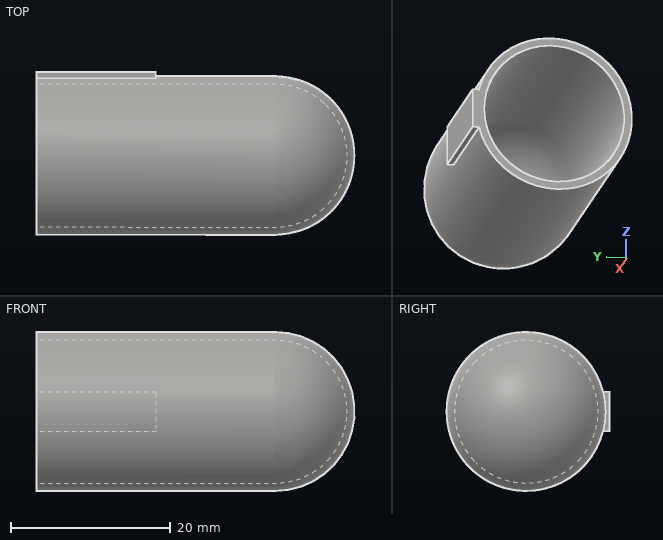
import cadquery as cq

total_length = 40.0
outer_radius = 10.0
wall = 1.0
tab_width = 5.0

inner_radius = outer_radius - wall
tube_length = total_length - outer_radius
tab_length = tube_length / 2
tab_top = outer_radius + wall / 2
tab_root = inner_radius


def domed_cylinder(radius):
    """Solid along +X: a cylinder from X = 0 closed by a hemisphere at its far end."""
    cylinder = cq.Workplane("YZ").circle(radius).extrude(tube_length)
    dome = cq.Workplane("XY").sphere(radius).translate((tube_length, 0, 0))
    return cylinder.union(dome)


def side_tab():
    """Flat rib on the +Y side, starting at the open end."""
    return cq.Workplane("XY").box(
        tab_length, tab_top - tab_root, tab_width, centered=(False, False, True)
    ).translate((0, tab_root, 0))


result = domed_cylinder(outer_radius).union(side_tab()).cut(domed_cylinder(inner_radius))